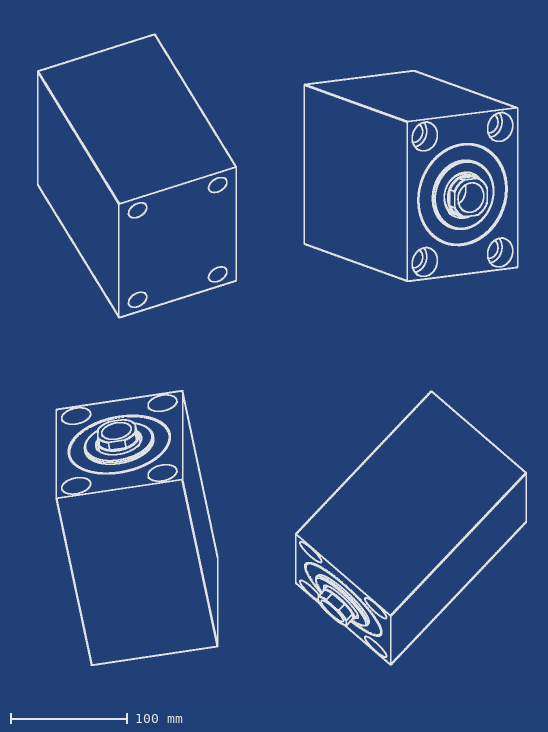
import cadquery as cq
import math

TOTAL_LENGTH = 187.0
BLOCK_WIDTH = 110.0
BLOCK_HEIGHT = 140.0
BLOCK_EDGE_CHAMFER = 0.5

ROD_PROTRUSION = 14.0
COLLAR_PROTRUSION = 6.0
FLANGE_PROTRUSION = 3.0

HOLE_SPACING_Y = 75.0
HOLE_SPACING_Z = 110.0
HOLE_DIAMETER = 17.0
COUNTERBORE_DIAMETER = 25.0
COUNTERBORE_DEPTH = 18.0

GLAND_DIAMETER = 87.0
GLAND_SEAT_CHAMFER = 1.0
GLAND_DEPTH = 30.0
FLANGE_DIAMETER = 60.0
FLANGE_CHAMFER = 1.1
GLAND_RECESS_DIAMETER = 40.0
GLAND_RECESS_DEPTH = 3.0

ROD_DIAMETER = 36.0
COLLAR_CHAMFER = 0.5
TIP_DIAMETER = 35.3
TIP_CHAMFER = 0.4
WRENCH_FLATS = 32.4
ROD_BORE_DIAMETER = 25.6
ROD_BORE_DEPTH = 30.0
DRILL_POINT_ANGLE = 118.0

BLOCK_LENGTH = TOTAL_LENGTH - ROD_PROTRUSION
FLANGE_X = -FLANGE_PROTRUSION
COLLAR_X = -COLLAR_PROTRUSION
TIP_X = -ROD_PROTRUSION


def cylinder(diameter, start_x, end_x):
    """Solid cylinder on the X axis between two X positions."""
    return cq.Workplane("YZ", origin=(start_x, 0, 0)).circle(diameter / 2).extrude(end_x - start_x)


def make_block():
    """Rectangular block with four counterbored holes and a chamfered seat for the gland."""
    block = cq.Workplane("YZ").rect(BLOCK_WIDTH, BLOCK_HEIGHT).extrude(BLOCK_LENGTH)
    block = block.edges("|X").chamfer(BLOCK_EDGE_CHAMFER)
    block = (
        block.faces("<X")
        .workplane(centerOption="CenterOfBoundBox")
        .rect(HOLE_SPACING_Y, HOLE_SPACING_Z, forConstruction=True)
        .vertices()
        .cboreHole(HOLE_DIAMETER, COUNTERBORE_DIAMETER, COUNTERBORE_DEPTH)
    )
    seat_mouth = cq.Solid.makeCone(
        GLAND_DIAMETER / 2 + GLAND_SEAT_CHAMFER,
        GLAND_DIAMETER / 2,
        GLAND_SEAT_CHAMFER,
        cq.Vector(0, 0, 0),
        cq.Vector(1, 0, 0),
    )
    return block.cut(cylinder(GLAND_DIAMETER, 0, GLAND_DEPTH)).cut(cq.Workplane(seat_mouth))


def make_gland():
    """Disc with a raised flange, bored for the rod and recessed around it."""
    disc = cylinder(GLAND_DIAMETER, 0, GLAND_DEPTH)
    flange = cylinder(FLANGE_DIAMETER, FLANGE_X, GLAND_DEPTH).faces("<X").chamfer(FLANGE_CHAMFER)
    bore = cylinder(ROD_DIAMETER, FLANGE_X, GLAND_DEPTH)
    recess = cylinder(GLAND_RECESS_DIAMETER, FLANGE_X, FLANGE_X + GLAND_RECESS_DEPTH)
    return disc.union(flange).cut(bore).cut(recess)


def make_rod_bore():
    """Blind hole with a conical drill point."""
    radius = ROD_BORE_DIAMETER / 2
    cone_depth = radius / math.tan(math.radians(DRILL_POINT_ANGLE / 2))
    bore_end = TIP_X + ROD_BORE_DEPTH
    profile = [(TIP_X, 0), (TIP_X, radius), (bore_end, radius), (bore_end + cone_depth, 0)]
    return cq.Workplane("XY").polyline(profile).close().revolve(360, (0, 0, 0), (1, 0, 0))


def make_rod():
    """Rod with a chamfered shoulder and a square-flatted, bored tip."""
    shank = cylinder(ROD_DIAMETER, COLLAR_X, GLAND_DEPTH).faces("<X").chamfer(COLLAR_CHAMFER)
    tip = cylinder(TIP_DIAMETER, TIP_X, COLLAR_X).faces("<X").chamfer(TIP_CHAMFER)
    square = cq.Workplane("YZ", origin=(TIP_X, 0, 0)).rect(WRENCH_FLATS, WRENCH_FLATS)
    tip = tip.intersect(square.extrude(ROD_PROTRUSION))
    return shank.union(tip).cut(make_rod_bore())


block = make_block()
gland = make_gland()
rod = make_rod()

result = cq.Compound.makeCompound([block.val(), gland.val(), rod.val()])